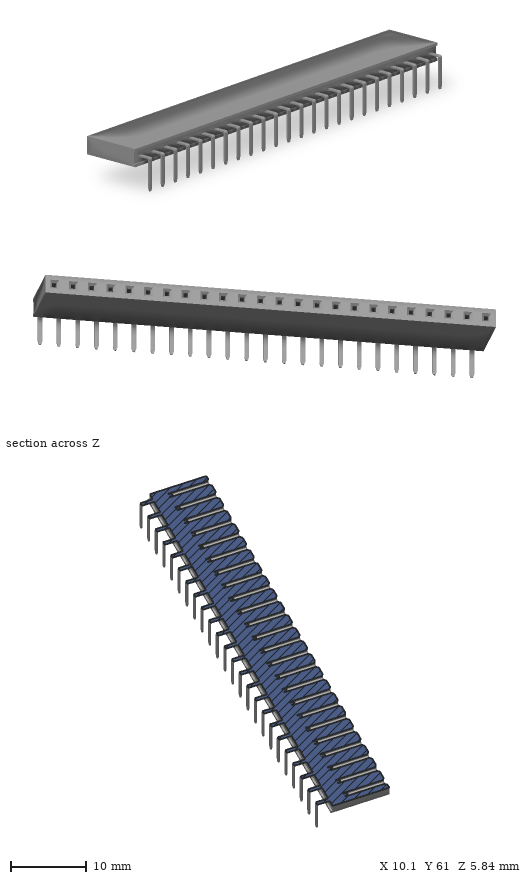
import cadquery as cq

pin_count = 24
pitch = 2.54
row_length = pin_count * pitch

body_depth = 8.51
body_height = pitch

groove_depth = 0.25
rear_lip_height = 0.4

lead_in_width = 1.24
socket_width = 0.61
lead_in_depth = (lead_in_width - socket_width) / 2
socket_depth = 6.0

overall_depth = 10.13
overall_height = 5.84
pin_width = 0.6
pin_thickness = 0.2
bend_outer_radius = 0.3
bend_inner_radius = bend_outer_radius - pin_thickness
pin_embed = 0.5
tip_length = 0.45
tip_width = 0.3

blade_width = 0.5
blade_height = 0.5

pin_bottom_z = body_height / 2 - overall_height
first_pin_y = -(pin_count - 1) / 2 * pitch


def make_body():
    """Rectangular bar with a groove along its rear face."""
    body = cq.Workplane("XY").box(body_depth, row_length, body_height).translate((body_depth / 2, 0, 0))
    groove_height = body_height - 2 * rear_lip_height
    groove_center_x = body_depth - groove_depth / 2
    groove = cq.Workplane("XY").box(groove_depth, row_length, groove_height)
    return body.cut(groove.translate((groove_center_x, 0, 0)))


def make_socket():
    """Cutter for one socket: a tapered lead-in and a blind square hole, around the blade on its floor."""
    lead_in = (
        cq.Workplane("YZ")
        .rect(lead_in_width, lead_in_width)
        .workplane(offset=lead_in_depth)
        .rect(socket_width, socket_width)
        .loft(ruled=True)
    )
    hole = (
        cq.Workplane("YZ", origin=(lead_in_depth, 0, 0))
        .rect(socket_width, socket_width)
        .extrude(socket_depth - lead_in_depth)
    )
    blade = (
        cq.Workplane("YZ", origin=(socket_depth, 0, 0))
        .rect(blade_width, pin_thickness)
        .extrude(-blade_height)
    )
    return lead_in.union(hole).cut(blade)


def make_pin():
    """Strip that leaves the rear face, bends down and ends in a narrowed tip."""
    start_x = body_depth - groove_depth - pin_embed
    half_thickness = pin_thickness / 2
    inner_face_x = overall_depth - pin_thickness
    bend_x = overall_depth - bend_outer_radius
    bend_z = half_thickness - bend_outer_radius
    strip = (
        cq.Workplane("XZ")
        .moveTo(start_x, half_thickness)
        .lineTo(bend_x, half_thickness)
        .radiusArc((overall_depth, bend_z), bend_outer_radius)
        .lineTo(overall_depth, pin_bottom_z)
        .lineTo(inner_face_x, pin_bottom_z)
        .lineTo(inner_face_x, bend_z)
        .radiusArc((bend_x, -half_thickness), -bend_inner_radius)
        .lineTo(start_x, -half_thickness)
        .close()
        .extrude(pin_width / 2, both=True)
    )
    tip_corners = strip.faces("<Z").edges("|X")
    return tip_corners.chamfer(tip_length, (pin_width - tip_width) / 2)


result = make_body()
socket = make_socket()
pin = make_pin()
for index in range(pin_count):
    position = (0, first_pin_y + index * pitch, 0)
    result = result.cut(socket.translate(position))
    result = result.union(pin.translate(position))